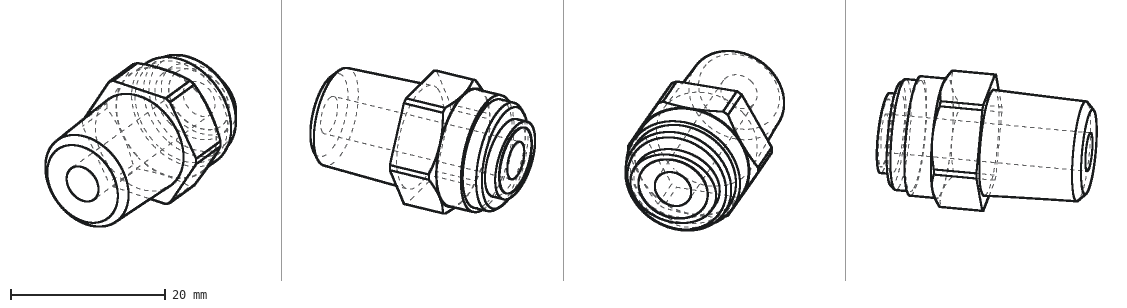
import cadquery as cq
import math

total_length = 27.0
tip_y = -total_length / 2
back_y = total_length / 2
hex_front_y = back_y - 13.82
hex_back_y = back_y - 7.61
collar_back_y = back_y - 4.1
body_back_y = back_y - 1.57
lip_height = 0.08

taper = 1 / 16
thread_root_diameter = 13.82
tip_chamfer = 1.0

across_flats = 15.8
across_trimmed_corners = 17.8
hex_chamfer_angle = math.radians(30)

collar_diameter = 15.6
body_diameter = 14.5
body_chamfer_length = 0.6
body_chamfer_depth = 0.49

sleeve_width = 11.75
sleeve_height = 10.02
lip_width = 9.48
lip_depth = 8.65

bore_diameter = 5.0


def revolve_about_y(points):
    """Turn a closed (radius, y) outline about the Y axis."""
    return cq.Workplane("XY").polyline(points).close().revolve(360, (0, 0, 0), (0, 1, 0))


def plane_at(y):
    """Workplane at y, facing +Y."""
    return cq.Workplane("XZ", origin=(0, y, 0)).transformed(rotate=(180, 0, 0))


def cylinder(diameter, start_y, end_y):
    return plane_at(start_y).circle(diameter / 2).extrude(end_y - start_y)


def hexagon(flats, rotation):
    """Hexagonal prism over the nut length; zero rotation puts corners on X."""
    across_corners = flats / math.cos(math.pi / 6)
    prism = plane_at(hex_front_y).polygon(6, across_corners).extrude(hex_back_y - hex_front_y)
    return prism.rotate((0, 0, 0), (0, 1, 0), rotation)


def oval(width, height, start_y, end_y):
    return plane_at(start_y).ellipse(width / 2, height / 2).extrude(end_y - start_y)


def make_thread():
    chamfer_y = tip_y + tip_chamfer
    root_radius = thread_root_diameter / 2
    end_radius = root_radius - (hex_front_y - chamfer_y) * taper / 2
    return revolve_about_y([
        (0, tip_y),
        (end_radius - tip_chamfer, tip_y),
        (end_radius, chamfer_y),
        (root_radius, hex_front_y),
        (0, hex_front_y),
    ])


def make_nut():
    nut = hexagon(across_flats, 0).intersect(hexagon(across_trimmed_corners, 30))
    cone_start = across_flats / 2
    cone_end = across_flats / math.sqrt(3)
    cone_length = (cone_end - cone_start) * math.tan(hex_chamfer_angle)
    envelope = revolve_about_y([
        (0, hex_front_y),
        (cone_end, hex_front_y),
        (cone_end, hex_back_y - cone_length),
        (cone_start, hex_back_y),
        (0, hex_back_y),
    ])
    return nut.intersect(envelope)


def make_body():
    radius = body_diameter / 2
    return revolve_about_y([
        (0, collar_back_y),
        (radius, collar_back_y),
        (radius, body_back_y - body_chamfer_length),
        (radius - body_chamfer_depth, body_back_y),
        (0, body_back_y),
    ])


def make_sleeve():
    lip_y = back_y - lip_height
    sleeve = oval(sleeve_width, sleeve_height, body_back_y, lip_y)
    return sleeve.union(oval(lip_width, lip_depth, lip_y, back_y))


solid = make_thread().union(make_nut())
solid = solid.union(cylinder(collar_diameter, hex_back_y, collar_back_y))
solid = solid.union(make_body()).union(make_sleeve())
result = solid.cut(cylinder(bore_diameter, tip_y, back_y))